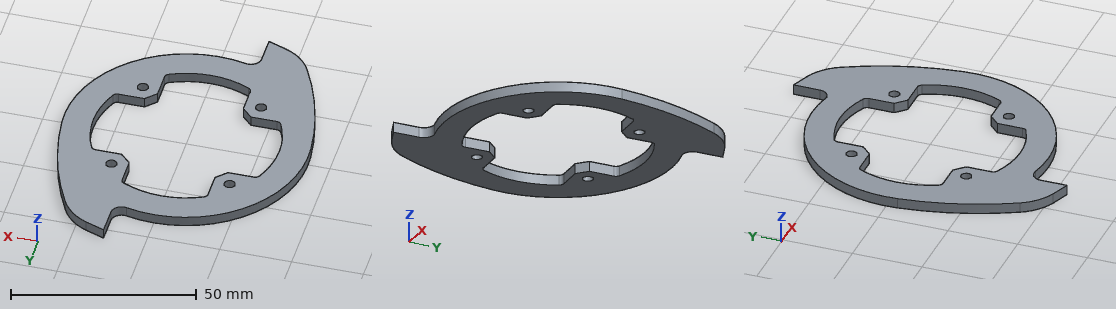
import cadquery as cq
import math

thickness = 3.0
disc_radius = 34.0
total_length = 87.1

tip_wall_x = 11.4
tip_y = total_length / 2
notch_fillet_radius = 3.0
flank_start_y = 3.2
flank_end = (24.4, 34.8)
shoulder_end = (16.9, 41.55)

opening_radius = 25.9
pad_edge = 11.9
pad_chamfer = 2.9
opening_fillet_radius = 1.5
hole_offset = 16.5
hole_diameter = 3.0


def hook():
    """Hook on the +Y side, reaching back to the centre so it merges with the disc."""
    fillet_x = tip_wall_x - notch_fillet_radius
    center_distance = disc_radius + notch_fillet_radius
    fillet_y = math.sqrt(center_distance**2 - fillet_x**2)
    disc_share = disc_radius / center_distance
    fillet_start = (fillet_x * disc_share, fillet_y * disc_share)
    diagonal = notch_fillet_radius * math.sqrt(0.5)
    fillet_middle = (fillet_x + diagonal, fillet_y - diagonal)
    fillet_end = (tip_wall_x, fillet_y)

    flank_start_x = math.sqrt(disc_radius**2 - flank_start_y**2)
    start = cq.Vector(flank_start_x, flank_start_y)
    end = cq.Vector(*flank_end)
    tangent = cq.Vector(-flank_start_y, flank_start_x)
    flank = cq.Edge.makeTangentArc(start, tangent, end)
    flank_middle = flank.positionAt(0.5).toTuple()[:2]
    return (
        cq.Workplane("XY")
        .lineTo(flank_start_x, flank_start_y)
        .threePointArc(flank_middle, flank_end)
        .tangentArcPoint(shoulder_end, relative=False)
        .lineTo(tip_wall_x, tip_y)
        .lineTo(*fillet_end)
        .threePointArc(fillet_middle, fillet_start)
        .close()
        .extrude(thickness)
    )


def opening():
    """Round opening that leaves four corner pads with chamfered noses."""
    arm_length = 2 * disc_radius
    arm_width = 2 * pad_edge
    diamond = 2 * pad_edge + pad_chamfer
    cross = (
        cq.Workplane("XY")
        .rect(arm_length, arm_width)
        .extrude(thickness)
        .union(cq.Workplane("XY").rect(arm_width, arm_length).extrude(thickness))
    )
    noses = (
        cq.Workplane("XY")
        .polyline([(diamond, 0), (0, diamond), (-diamond, 0), (0, -diamond)])
        .close()
        .extrude(thickness)
    )
    round_body = cq.Workplane("XY").circle(opening_radius).extrude(thickness)
    return round_body.intersect(cross.union(noses))


def is_outer_corner(edge):
    """True where a pad side meets the round wall of the opening."""
    center = edge.Center()
    on_pad_side = min(abs(center.x), abs(center.y)) > pad_edge / 2
    on_round_wall = max(abs(center.x), abs(center.y)) > pad_edge + 2 * pad_chamfer
    return on_pad_side and on_round_wall


sharp_opening = opening()
corner_edges = sharp_opening.edges("|Z").filter(is_outer_corner)
rounded_opening = corner_edges.fillet(opening_fillet_radius)

holes = (
    cq.Workplane("XY")
    .rect(2 * hole_offset, 2 * hole_offset, forConstruction=True)
    .vertices()
    .circle(hole_diameter / 2)
    .extrude(thickness)
)

plate = cq.Workplane("XY").circle(disc_radius).extrude(thickness)
for angle in (0, 180):
    plate = plate.union(hook().rotate((0, 0, 0), (0, 0, 1), angle))

result = plate.cut(rounded_opening).cut(holes)